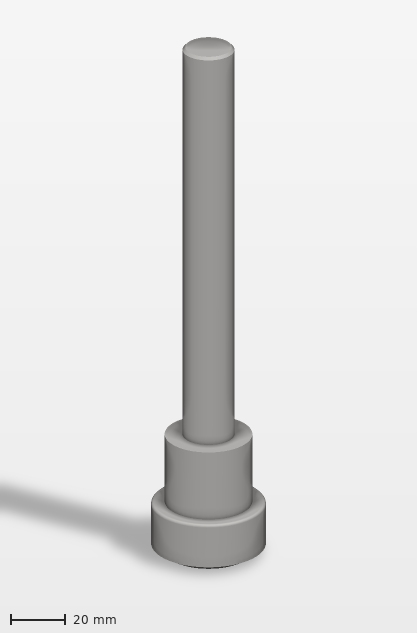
import cadquery as cq
import math

total_height = 203.0

head_diameter = 42.0
head_height = 20.0
head_top_fillet = 1.0

head_taper_height = 3.0
head_taper_angle = 30.0
head_taper_width = head_taper_height / math.tan(math.radians(head_taper_angle))

shoulder_diameter = 32.1
shoulder_height = 27.0

rod_diameter = 19.0
rod_height = total_height - head_height - shoulder_height
rod_tip_chamfer = 1.0


def make_head():
    """Disc with a rounded top edge and a shallow conical taper below."""
    head = cq.Workplane("XY").circle(head_diameter / 2).extrude(head_height)
    head = head.faces(">Z").fillet(head_top_fillet)
    return head.faces("<Z").chamfer(head_taper_height, head_taper_width)


def make_shoulder():
    """Plain cylinder standing on the head."""
    base = cq.Workplane("XY").workplane(offset=head_height)
    return base.circle(shoulder_diameter / 2).extrude(shoulder_height)


def make_rod():
    """Long cylinder standing on the shoulder, chamfered at its tip."""
    base = cq.Workplane("XY").workplane(offset=head_height + shoulder_height)
    rod = base.circle(rod_diameter / 2).extrude(rod_height)
    return rod.faces(">Z").chamfer(rod_tip_chamfer)


result = make_head().union(make_shoulder()).union(make_rod())